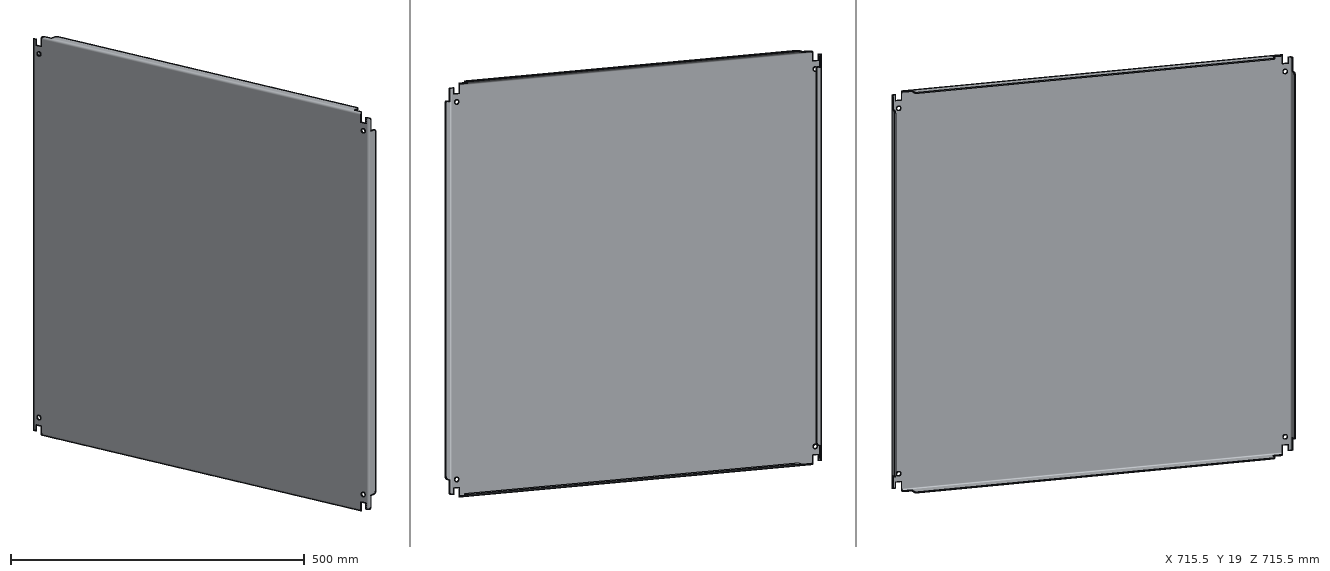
import cadquery as cq
import math

panel_size = 715.5
panel_depth = 19.0
half = panel_size / 2
front_y = -panel_depth / 2
back_y = panel_depth / 2

sheet = 2.0
bend_inner = 2.0
bend_outer = bend_inner + sheet
bend_line = half - bend_outer
mid_turn = math.sqrt(0.5)

notch_outer_x = 350.5
notch_inner_x = 340.0
notch_bottom_z = 340.5

side_strip_end = 351.0
side_wall_end = 327.0
top_strip_end = notch_inner_x
top_wall_end = 322.0
strip_height = 6.0
strip_corner = 5.0
wall_corner = 5.0

hole_diameter = 8.0
hole_x = 345.0
hole_z = 326.0


def make_panel():
    """Flat sheet between the bend lines, with a notch at each corner."""
    corner = [
        (notch_inner_x, bend_line),
        (notch_inner_x, notch_bottom_z),
        (notch_outer_x, notch_bottom_z),
        (notch_outer_x, side_strip_end),
        (bend_line, side_strip_end),
    ]
    upper_right = corner
    lower_right = [(x, -z) for x, z in reversed(corner)]
    lower_left = [(-x, -z) for x, z in corner]
    upper_left = [(-x, z) for x, z in reversed(corner)]
    outline = upper_right + lower_right + lower_left + upper_left
    return (
        cq.Workplane("XZ", origin=(0, front_y, 0))
        .polyline(outline)
        .close()
        .extrude(-sheet)
    )


def make_flange(strip_end, wall_end):
    """Right-hand flange: a bend at x = bend_line and a wall standing toward +Y."""
    bend_y = front_y + bend_outer
    bent_sheet = (
        cq.Workplane("XY", origin=(0, 0, -strip_end))
        .moveTo(bend_line, front_y)
        .threePointArc(
            (bend_line + bend_outer * mid_turn, bend_y - bend_outer * mid_turn),
            (half, bend_y),
        )
        .lineTo(half, back_y)
        .lineTo(half - sheet, back_y)
        .lineTo(half - sheet, bend_y)
        .threePointArc(
            (bend_line + bend_inner * mid_turn, bend_y - bend_inner * mid_turn),
            (bend_line, front_y + sheet),
        )
        .close()
        .extrude(2 * strip_end)
    )
    strip_y = front_y + strip_height
    end_outline = (
        cq.Workplane("YZ", origin=(bend_line, 0, 0))
        .moveTo(front_y, -strip_end)
        .lineTo(strip_y - strip_corner, -strip_end)
        .radiusArc((strip_y, strip_corner - strip_end), -strip_corner)
        .lineTo(strip_y, -wall_end)
        .lineTo(back_y - wall_corner, -wall_end)
        .radiusArc((back_y, wall_corner - wall_end), -wall_corner)
        .lineTo(back_y, wall_end - wall_corner)
        .radiusArc((back_y - wall_corner, wall_end), -wall_corner)
        .lineTo(strip_y, wall_end)
        .lineTo(strip_y, strip_end - strip_corner)
        .radiusArc((strip_y - strip_corner, strip_end), -strip_corner)
        .lineTo(front_y, strip_end)
        .close()
        .extrude(bend_outer)
    )
    return bent_sheet.intersect(end_outline)


def make_holes():
    return (
        cq.Workplane("XZ", origin=(0, front_y, 0))
        .rect(2 * hole_x, 2 * hole_z, forConstruction=True)
        .vertices()
        .circle(hole_diameter / 2)
        .extrude(-sheet)
    )


side_flange = make_flange(side_strip_end, side_wall_end)
top_flange = make_flange(top_strip_end, top_wall_end)

result = make_panel()
for turn in (0, 180):
    result = result.union(side_flange.rotate((0, 0, 0), (0, 1, 0), turn))
    result = result.union(top_flange.rotate((0, 0, 0), (0, 1, 0), turn + 90))
result = result.cut(make_holes())